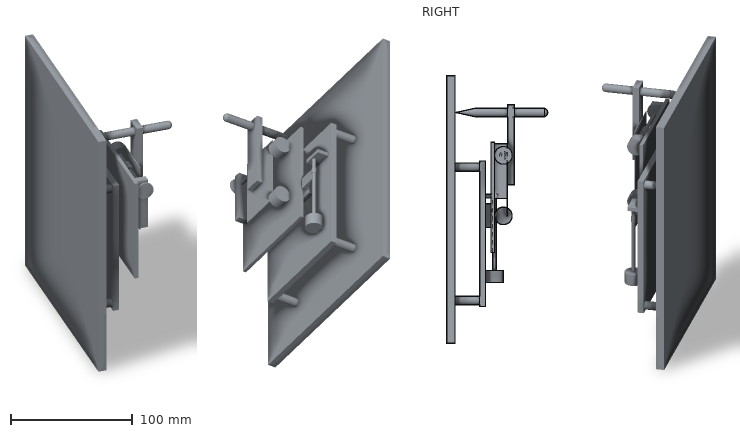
import cadquery as cq


ALONG_X = (1, 0, 0)
ALONG_Y = (0, 1, 0)
ALONG_Z = (0, 0, 1)

BOARD_WIDTH = 180.0
BOARD_HEIGHT = 220.0
BOARD_THICKNESS = 7.0

BASE_WIDTH = 99.9
BASE_HEIGHT = 119.7
BASE_THICKNESS = 5.0
BASE_CENTER_Z = -20.0
POST_LENGTH = 20.0
POST_RADIUS = 3.5
POST_INSET = 5.0
BASE_BACK = POST_LENGTH + BASE_THICKNESS

MOTOR_RADIUS = 7.3
MOTOR_LENGTH = 10.1

SCREW_RADIUS = 1.5
LIFT_X = -34.8
LIFT_Y = BASE_BACK + MOTOR_RADIUS
LIFT_MOTOR_TOP = -50.0
LIFT_BRACKET_LEFT = -45.0
LIFT_BRACKET_WIDTH = 17.5
LIFT_BRACKET_DEPTH = 10.0
LIFT_BRACKET_BOTTOM = 9.2
LIFT_BRACKET_THICKNESS = 3.3

SLIDE_LEFT = -21.3
SLIDE_LENGTH = 57.2
SLIDE_DEPTH = 4.2
SLIDE_HEIGHT = 19.8
SLIDE_CENTER_Z = -5.0
PLATE_LEFT = -13.6
PLATE_SIZE = 90.6
PLATE_THICKNESS = 3.0
PLATE_CENTER_Z = 10.0
SLIDE_BACK = BASE_BACK + SLIDE_DEPTH
PLATE_BACK = SLIDE_BACK + PLATE_THICKNESS
ARM_BACK = 33.5
ARM_THICKNESS = 2.6
ARM_HEIGHT = 10.0
TAB_THICKNESS = 3.3
LIFT_NUT_RADIUS = 2.0
LIFT_NUT_LENGTH = 4.6
ARM_TOP = SLIDE_CENTER_Z + ARM_HEIGHT / 2

CROSS_Y = PLATE_BACK + MOTOR_RADIUS
CROSS_Z = 44.5
CROSS_MOTOR_LEFT = 2.6
CROSS_MOTOR_RIGHT = CROSS_MOTOR_LEFT + MOTOR_LENGTH
LOWER_MOTOR_Z = -5.3
CROSS_BRACKET_LEFT = 66.5
CROSS_BRACKET_WIDTH = 6.0
CROSS_BRACKET_DEPTH = 10.1
CROSS_BRACKET_HEIGHT = 45.3
CROSS_BRACKET_BOTTOM = 8.8
KNOB_THICKNESS = 1.3

PEN_X = 35.9
PEN_Z = 79.6
PEN_RADIUS = 3.5
PEN_LENGTH = 76.1
CONE_LENGTH = 16.0
CAP_LENGTH = 2.6
HOLDER_LEFT = 28.2
HOLDER_WIDTH = 15.0
HOLDER_FRONT = 43.1
HOLDER_DEPTH = 5.5
HOLDER_TOP = 86.0
HOLDER_BOTTOM = 20.2
SHEET_THICKNESS = 0.7
SHEET_LENGTH = 39.8
SHEET_BOTTOM = LOWER_MOTOR_Z
SHEET_TOP = CROSS_BRACKET_BOTTOM + CROSS_BRACKET_HEIGHT
CROSS_NUT_RADIUS = 3.0
CROSS_NUT_LENGTH = 10.0


def box(x, y, z):
    """Box spanning the given (low, high) pairs."""
    size = [high - low for low, high in (x, y, z)]
    return cq.Workplane("XY").box(*size, centered=False).translate((x[0], y[0], z[0]))


def cylinder(start, axis, radius, length):
    """Cylinder that runs from the start point along the axis."""
    return cq.Workplane(cq.Solid.makeCylinder(radius, length, cq.Vector(*start), cq.Vector(*axis)))


def centered(middle, size):
    """Low and high ends of a span around its middle."""
    return (middle - size / 2, middle + size / 2)


def make_board():
    return box(centered(0, BOARD_WIDTH), (-BOARD_THICKNESS, 0), centered(0, BOARD_HEIGHT))


def make_base_frame():
    base_z = centered(BASE_CENTER_Z, BASE_HEIGHT)
    frame = box(centered(0, BASE_WIDTH), (POST_LENGTH, BASE_BACK), base_z)
    for side in (-1, 1):
        for level in (-1, 1):
            post_x = side * (BASE_WIDTH / 2 - POST_INSET)
            post_z = BASE_CENTER_Z + level * (BASE_HEIGHT / 2 - POST_INSET)
            frame = frame.union(cylinder((post_x, 0, post_z), ALONG_Y, POST_RADIUS, POST_LENGTH))
    bracket = box(
        (LIFT_BRACKET_LEFT, LIFT_BRACKET_LEFT + LIFT_BRACKET_WIDTH),
        (BASE_BACK, BASE_BACK + LIFT_BRACKET_DEPTH),
        (LIFT_BRACKET_BOTTOM, LIFT_BRACKET_BOTTOM + LIFT_BRACKET_THICKNESS),
    )
    return frame.union(bracket)


def make_motor(start, axis):
    return cylinder(start, axis, MOTOR_RADIUS, MOTOR_LENGTH)


def make_lift_screw():
    length = LIFT_BRACKET_BOTTOM - LIFT_MOTOR_TOP
    return cylinder((LIFT_X, LIFT_Y, LIFT_MOTOR_TOP), ALONG_Z, SCREW_RADIUS, length)


def make_cross_screw():
    """Screw that passes through its end bracket and carries a round knob outside it."""
    knob_left = CROSS_BRACKET_LEFT + CROSS_BRACKET_WIDTH
    length = knob_left - CROSS_MOTOR_RIGHT
    screw = cylinder((CROSS_MOTOR_RIGHT, CROSS_Y, CROSS_Z), ALONG_X, SCREW_RADIUS, length)
    knob = cylinder((knob_left, CROSS_Y, CROSS_Z), ALONG_X, MOTOR_RADIUS, KNOB_THICKNESS)
    return screw.union(knob)


def make_carriage(lift_screw, cross_screw):
    slide = box(
        (SLIDE_LEFT, SLIDE_LEFT + SLIDE_LENGTH),
        (BASE_BACK, SLIDE_BACK),
        centered(SLIDE_CENTER_Z, SLIDE_HEIGHT),
    )
    plate = box(
        (PLATE_LEFT, PLATE_LEFT + PLATE_SIZE),
        (SLIDE_BACK, PLATE_BACK),
        centered(PLATE_CENTER_Z, PLATE_SIZE),
    )
    arm_z = (ARM_TOP - ARM_HEIGHT, ARM_TOP)
    arm_right = SLIDE_LEFT + TAB_THICKNESS
    tab = box((SLIDE_LEFT, arm_right), (BASE_BACK, ARM_BACK), arm_z)
    arm = box((LIFT_X, arm_right), (ARM_BACK - ARM_THICKNESS, ARM_BACK), arm_z)
    nut_start = (LIFT_X, LIFT_Y, ARM_TOP - LIFT_NUT_LENGTH)
    nut = cylinder(nut_start, ALONG_Z, LIFT_NUT_RADIUS, LIFT_NUT_LENGTH)
    bracket = box(
        (CROSS_BRACKET_LEFT, CROSS_BRACKET_LEFT + CROSS_BRACKET_WIDTH),
        (PLATE_BACK, PLATE_BACK + CROSS_BRACKET_DEPTH),
        (CROSS_BRACKET_BOTTOM, CROSS_BRACKET_BOTTOM + CROSS_BRACKET_HEIGHT),
    )
    carriage = slide.union(plate).union(tab).union(arm).union(nut).union(bracket)
    return carriage.cut(lift_screw).cut(cross_screw)


def make_pen():
    """Pen with a pointed tip on the board and a domed cap at the other end."""
    cap_start = PEN_LENGTH - CAP_LENGTH
    cap_radius = (PEN_RADIUS**2 + CAP_LENGTH**2) / (2 * CAP_LENGTH)
    profile = (
        cq.Workplane("XY")
        .moveTo(0, 0)
        .lineTo(PEN_RADIUS, CONE_LENGTH)
        .lineTo(PEN_RADIUS, cap_start)
        .radiusArc((0, PEN_LENGTH), -cap_radius)
        .close()
    )
    return profile.revolve(360, (0, 0), (0, 1)).translate((PEN_X, 0, PEN_Z))


def make_pen_holder(pen, cross_screw):
    """Pen block with a thin sheet on its front face and a nut on the cross screw."""
    holder_x = (HOLDER_LEFT, HOLDER_LEFT + HOLDER_WIDTH)
    block = box(holder_x, (HOLDER_FRONT, HOLDER_FRONT + HOLDER_DEPTH), (HOLDER_BOTTOM, HOLDER_TOP))
    sheet = box(
        (CROSS_MOTOR_RIGHT, CROSS_MOTOR_RIGHT + SHEET_LENGTH),
        (HOLDER_FRONT - SHEET_THICKNESS, HOLDER_FRONT),
        (SHEET_BOTTOM, SHEET_TOP),
    )
    nut_start = (HOLDER_LEFT, CROSS_Y, CROSS_Z)
    nut = cylinder(nut_start, ALONG_X, CROSS_NUT_RADIUS, CROSS_NUT_LENGTH)
    return block.union(sheet).union(nut).cut(pen).cut(cross_screw)


board = make_board()
base_frame = make_base_frame()
lift_screw = make_lift_screw()
cross_screw = make_cross_screw()
carriage = make_carriage(lift_screw, cross_screw)
pen = make_pen()
pen_holder = make_pen_holder(pen, cross_screw)

motor_places = [
    ((LIFT_X, LIFT_Y, LIFT_MOTOR_TOP - MOTOR_LENGTH), ALONG_Z),
    ((CROSS_MOTOR_LEFT, CROSS_Y, CROSS_Z), ALONG_X),
    ((CROSS_MOTOR_LEFT, CROSS_Y, LOWER_MOTOR_Z), ALONG_X),
]
motors = [make_motor(start, axis) for start, axis in motor_places]

result = cq.Compound.makeCompound(
    [
        board.val(),
        base_frame.val(),
        *[motor.val() for motor in motors],
        lift_screw.val(),
        cross_screw.val(),
        carriage.val(),
        pen_holder.val(),
        pen.val(),
    ]
)